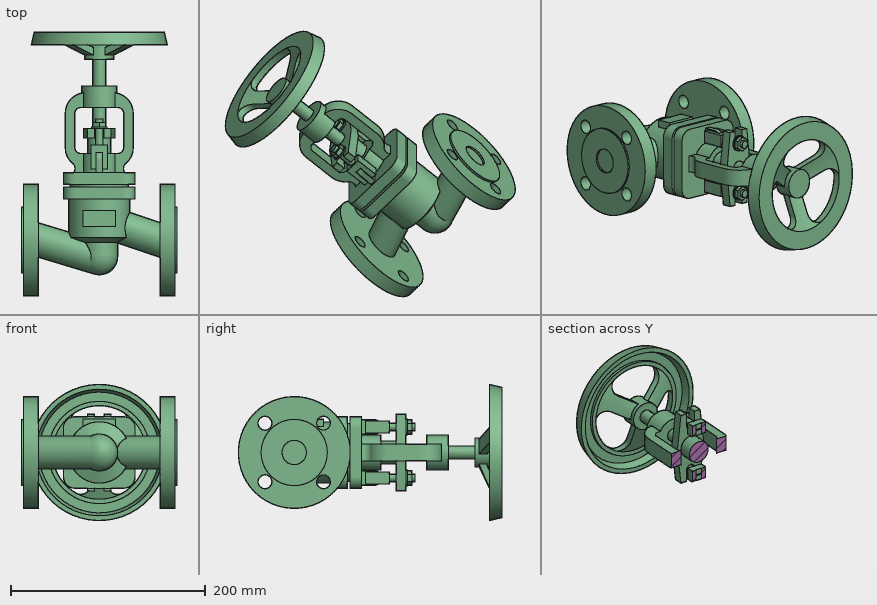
import cadquery as cq
import math


face_to_face = 160.0
flange_dia = 115.0
flange_thickness = 15.5
raised_face_dia = 68.0
raised_face_height = 2.0
flange_back_x = face_to_face / 2 - raised_face_height - flange_thickness
port_dia = 25.0
port_depth = 2.0
bolt_circle_dia = 85.0
bolt_hole_dia = 14.0
bolt_hole_count = 4

pipe_radius = 17.0
elbow_radius = 19.0
elbow_y = -16.8
inlet_y = -18.8
outlet_y = 21.2
neck_top_y = -2.6
body_bottom_y = 2.6
body_radius = 31.5
pad_width = 33.0
pad_bottom_y = 14.1
pad_top_y = 30.1
pad_top_z = 34.3

square_side = 73.5
square_corner_radius = 11.5
body_flange_bottom_y = 42.1
body_flange_top_y = 54.7
gasket_radius = 30.0
bonnet_flange_bottom_y = 57.1
bonnet_flange_top_y = 69.1

yoke_thickness = 17.0
yoke_half_width = 35.0
yoke_arm_width = 10.0
yoke_outer_radius = 21.5
yoke_window_radius = 6.0
yoke_upper_arc_y = 130.0
yoke_lower_arc_y = 95.0
yoke_neck_top_y = 77.9
yoke_waist_half_width = 25.0
collar_radius = 18.1
collar_bottom_y = yoke_upper_arc_y + yoke_window_radius
collar_top_y = 158.2
boss_top_y = yoke_lower_arc_y - yoke_window_radius

gland_radius = 12.0
gland_plate_bottom_y = 104.6
gland_plate_top_y = 114.6
gland_plate_half_length = 39.3
gland_plate_end_half_width = 12.0
gland_plate_mid_radius = 16.4
gland_slot_width = 10.0

bolt_z = 26.2
bolt_dia = 8.0
bolt_top_y = 124.2
washer_dia = 16.0
washer_thickness = 1.6
nut_across_flats = 13.0
nut_height = 4.6
eye_block_width = 17.0
eye_block_depth = 12.7
eye_block_bottom_y = 73.0
eye_block_top_y = 97.7
lug_width = 6.4
lug_end_radius = 7.6
lug_center_y = 82.2

spindle_radius = 6.9
wheel_back_y = 213.53
wheel_front_y = 200.4
wheel_front_radius = 70.0
wheel_back_radius = 67.0
rim_wall = 5.0
recess_floor_radius = 62.0
recess_floor_y = 209.0
ring_outer_radius = 52.5
ring_inner_radius = 48.0
hub_radius = 15.0
hub_front_y = 185.5
hub_back_y = 203.8
web_hub_y = 190.0
web_thickness = 7.8
spoke_width = 18.0
spoke_count = 3
spoke_corner_radius = 10.0


def disc(radius, y_start, y_end):
    """Cylinder on the spindle axis."""
    return cq.Workplane("XZ", origin=(0, y_start, 0)).circle(radius).extrude(y_start - y_end)


def block(x_size, y_start, y_end, z_start, z_end):
    """Box centred on X = 0."""
    return (
        cq.Workplane("XY")
        .box(x_size, y_end - y_start, z_end - z_start, centered=(True, False, False))
        .translate((0, y_start, z_start))
    )


def revolved(points):
    """Solid turned about the spindle axis from (radius, y) points."""
    return cq.Workplane("XY").polyline(points).close().revolve(360, (0, 0, 0), (0, 1, 0))


def pipe_flange(side):
    """End flange with raised face and bolt holes; side is -1 or +1 along X."""
    face_x = face_to_face / 2
    flange = (
        cq.Workplane("YZ", origin=(flange_back_x, 0, 0))
        .circle(flange_dia / 2)
        .extrude(flange_thickness)
        .faces(">X")
        .workplane()
        .circle(raised_face_dia / 2)
        .extrude(raised_face_height)
    )
    holes = (
        cq.Workplane("YZ", origin=(flange_back_x, 0, 0))
        .polarArray(bolt_circle_dia / 2, 180 / bolt_hole_count, 360, bolt_hole_count)
        .circle(bolt_hole_dia / 2)
        .extrude(flange_thickness)
    )
    port = cq.Workplane("YZ", origin=(face_x - port_depth, 0, 0)).circle(port_dia / 2).extrude(port_depth)
    flange = flange.cut(holes).cut(port)
    return flange if side > 0 else flange.mirror("YZ")


def slanted_pipe(side, inner_y):
    """Pipe from the centre of a flange's back face to the spindle axis at inner_y."""
    run = cq.Vector(side * flange_back_x, -inner_y, 0)
    pipe_length = run.Length + pipe_radius
    pipe = cq.Solid.makeCylinder(pipe_radius, pipe_length, cq.Vector(0, inner_y, 0), run)
    return cq.Workplane(pipe).intersect(cq.Workplane("XY").box(2 * flange_back_x, flange_dia, flange_dia))


def valve_body():
    elbow_diagonal = elbow_radius * math.sqrt(0.5)
    body = (
        cq.Workplane("XY")
        .moveTo(0, elbow_y - elbow_radius)
        .threePointArc((elbow_diagonal, elbow_y - elbow_diagonal), (elbow_radius, elbow_y))
        .lineTo(elbow_radius, neck_top_y)
        .lineTo(body_radius, body_bottom_y)
        .lineTo(body_radius, body_flange_bottom_y)
        .lineTo(0, body_flange_bottom_y)
        .close()
        .revolve(360, (0, 0, 0), (0, 1, 0))
    )
    for side, inner_y in ((-1, inlet_y), (1, outlet_y)):
        body = body.union(slanted_pipe(side, inner_y)).union(pipe_flange(side))
    return body.union(block(pad_width, pad_bottom_y, pad_top_y, 0, pad_top_z))


def square_flange(y_start, y_end):
    half_side = square_side / 2
    return block(square_side, y_start, y_end, -half_side, half_side).edges("|Y").fillet(square_corner_radius)


def yoke():
    arc_x = yoke_half_width - yoke_outer_radius
    diagonal = yoke_outer_radius * math.sqrt(0.5)
    top_y = yoke_upper_arc_y + yoke_outer_radius
    neck_drop = yoke_lower_arc_y - yoke_neck_top_y
    neck_half_width = arc_x + math.sqrt(yoke_outer_radius**2 - neck_drop**2)
    shoulder_angle = math.asin(neck_drop / yoke_outer_radius) / 2
    shoulder = (
        arc_x + yoke_outer_radius * math.cos(shoulder_angle),
        yoke_lower_arc_y - yoke_outer_radius * math.sin(shoulder_angle),
    )
    half = (
        cq.Workplane("XY")
        .moveTo(0, top_y)
        .lineTo(arc_x, top_y)
        .threePointArc(
            (arc_x + diagonal, yoke_upper_arc_y + diagonal),
            (yoke_half_width, yoke_upper_arc_y),
        )
        .lineTo(yoke_half_width, yoke_lower_arc_y)
        .threePointArc(shoulder, (neck_half_width, yoke_neck_top_y))
        .threePointArc(
            (yoke_waist_half_width, (yoke_neck_top_y + bonnet_flange_top_y) / 2),
            (neck_half_width, bonnet_flange_top_y),
        )
        .lineTo(0, bonnet_flange_top_y)
        .close()
        .extrude(yoke_thickness / 2, both=True)
    )
    window_width = 2 * (yoke_half_width - yoke_arm_width)
    window = block(window_width, boss_top_y, collar_bottom_y, -yoke_thickness, yoke_thickness)
    window = window.edges("|Z").fillet(yoke_window_radius)
    frame = half.union(half.mirror("YZ")).cut(window)
    boss = disc(collar_radius, bonnet_flange_top_y, boss_top_y)
    collar = disc(collar_radius, collar_bottom_y, collar_top_y)
    return frame.union(boss).union(collar)


def gland():
    """Gland follower and its plate, tapered towards both ends and slotted for the bolts."""
    end_x = gland_plate_end_half_width
    end_z = gland_plate_half_length
    mid = gland_plate_mid_radius
    tangent_angle = math.atan2(end_z, end_x) - math.acos(mid / math.hypot(end_x, end_z))
    tangent_x = mid * math.cos(tangent_angle)
    tangent_z = mid * math.sin(tangent_angle)
    plate = (
        cq.Workplane("XZ", origin=(0, gland_plate_top_y, 0))
        .moveTo(end_x, end_z)
        .lineTo(tangent_x, tangent_z)
        .threePointArc((mid, 0), (tangent_x, -tangent_z))
        .lineTo(end_x, -end_z)
        .lineTo(-end_x, -end_z)
        .lineTo(-tangent_x, -tangent_z)
        .threePointArc((-mid, 0), (-tangent_x, tangent_z))
        .lineTo(-end_x, end_z)
        .close()
        .extrude(gland_plate_top_y - gland_plate_bottom_y)
    )
    slot = block(gland_slot_width, gland_plate_bottom_y, gland_plate_top_y, bolt_z, gland_plate_half_length)
    slot_end = disc(gland_slot_width / 2, gland_plate_bottom_y, gland_plate_top_y).translate((0, 0, bolt_z))
    slot = slot.union(slot_end)
    plate = plate.cut(slot).cut(slot.mirror("XY"))
    return plate.union(disc(gland_radius, boss_top_y, gland_plate_bottom_y))


def gland_bolt():
    """Eye bolt on the +Z side with its bonnet lug, washer and nut."""
    washer_top_y = gland_plate_top_y + washer_thickness
    lug_top_y = lug_center_y + lug_end_radius
    block_start_z = bolt_z - eye_block_depth / 2
    block_end_z = bolt_z + eye_block_depth / 2
    eye_block = block(eye_block_width, eye_block_bottom_y, eye_block_top_y, block_start_z, block_end_z)
    eye_block = eye_block.cut(block(lug_width, eye_block_bottom_y, lug_top_y, block_start_z, block_end_z))
    lug = (
        cq.Workplane("YZ")
        .moveTo(bonnet_flange_top_y, bolt_z - lug_end_radius)
        .lineTo(lug_center_y, bolt_z - lug_end_radius)
        .threePointArc((lug_top_y, bolt_z), (lug_center_y, bolt_z + lug_end_radius))
        .lineTo(bonnet_flange_top_y, bolt_z + lug_end_radius)
        .close()
        .extrude(lug_width / 2, both=True)
    )
    shank = disc(bolt_dia / 2, eye_block_top_y, bolt_top_y)
    washer = disc(washer_dia / 2, gland_plate_top_y, washer_top_y)
    nut_across_corners = nut_across_flats / math.cos(math.radians(30))
    nut = (
        cq.Workplane("XZ", origin=(0, washer_top_y, 0))
        .polygon(6, nut_across_corners)
        .extrude(-nut_height)
        .rotate((0, 0, 0), (0, 1, 0), 30)
    )
    fastener = shank.union(washer).union(nut).translate((0, 0, bolt_z))
    return eye_block.union(lug).union(fastener)


def spoke_openings():
    """Rounded openings left between the spokes, through the whole wheel."""
    openings = disc(ring_inner_radius, hub_front_y, wheel_back_y)
    for index in range(spoke_count):
        spoke = block(spoke_width, hub_front_y, wheel_back_y, -ring_inner_radius, 0)
        openings = openings.cut(spoke.rotate((0, 0, 0), (0, 1, 0), index * 360 / spoke_count))
    openings = openings.cut(disc(hub_radius, hub_front_y, wheel_back_y))
    outer_edges = openings.edges("|Y").filter(
        lambda edge: math.hypot(edge.Center().x, edge.Center().z) > (hub_radius + ring_inner_radius) / 2
    )
    return outer_edges.fillet(spoke_corner_radius)


def handwheel():
    web_rim_y = wheel_back_y - web_thickness
    wheel = revolved([
        (0, hub_front_y),
        (hub_radius, hub_front_y),
        (hub_radius, web_hub_y),
        (ring_inner_radius, web_rim_y),
        (ring_outer_radius, web_rim_y),
        (ring_outer_radius, recess_floor_y),
        (recess_floor_radius, recess_floor_y),
        (wheel_front_radius - rim_wall, wheel_front_y),
        (wheel_front_radius, wheel_front_y),
        (wheel_back_radius, wheel_back_y),
        (ring_inner_radius, wheel_back_y),
        (hub_radius, web_hub_y + web_thickness),
        (hub_radius, hub_back_y),
        (0, hub_back_y),
    ])
    return wheel.cut(spoke_openings())


bolt = gland_bolt()
result = (
    valve_body()
    .union(square_flange(body_flange_bottom_y, body_flange_top_y))
    .union(disc(gasket_radius, body_flange_top_y, bonnet_flange_bottom_y))
    .union(square_flange(bonnet_flange_bottom_y, bonnet_flange_top_y))
    .union(yoke())
    .union(gland())
    .union(bolt)
    .union(bolt.mirror("XY"))
    .union(disc(spindle_radius, gland_plate_bottom_y, web_hub_y))
    .union(handwheel())
)